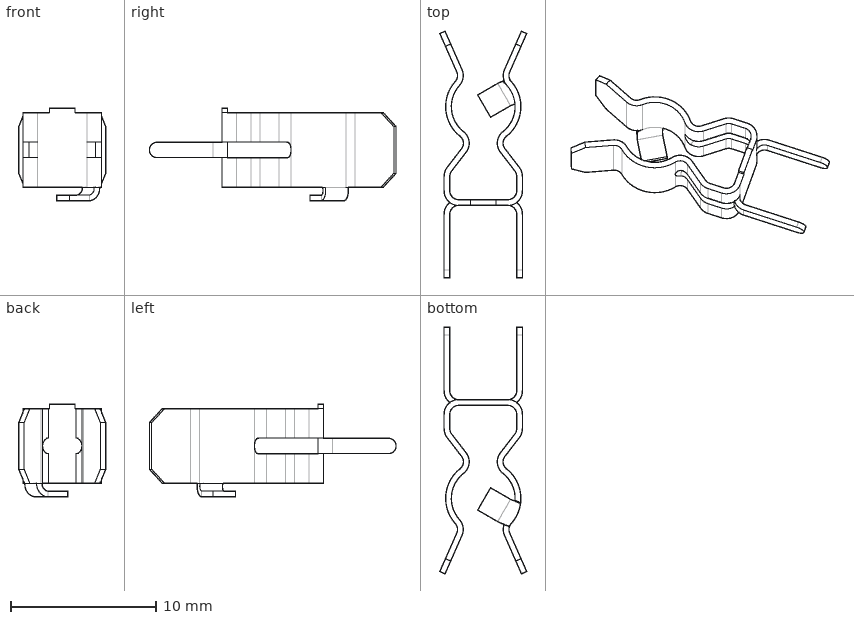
import cadquery as cq
import math


overall_length = 17
thickness = 0.4
bend_inner = 0.6
bend_middle = bend_inner + thickness / 2
strip_height = 5.15
clip_width = 5.4
plate_half = clip_width / 2 - bend_inner - thickness

side_length = 1.0
slant_angle = 37.5
slant_length = 1.65
waist_angle = 52
barrel_outer = 2.6
barrel_middle = barrel_outer - thickness / 2
mouth_angle = 42
lip_angle = 23.8
lip_length = 2.9
lip_corner = 0.97

leg_height = 1.07
tip_radius = leg_height / 2
round_end_angle = math.degrees(tip_radius / bend_middle)
slot_reach = bend_inner + 2 * thickness

tab_width = 1.78
tab_height = 0.3

foot_angle = 30
foot_width = 1.78
foot_drop = 0.94
foot_tip = 0.07
root_twist = -3


def advance(point, heading, distance):
    """Move a point along a heading given in degrees."""
    angle = math.radians(heading)
    return (point[0] + distance * math.cos(angle), point[1] + distance * math.sin(angle))


def walk(steps, start, heading):
    """Follow ("line", length) and ("bend", turn, radius) steps along the middle of the sheet.

    Returns the (point, heading) stations between the steps, and for each step
    the (point, heading) halfway round its bend, or None for a line.
    """
    stations = [(start, heading)]
    middles = []
    for kind, amount, *radius in steps:
        point, heading = stations[-1]
        if kind == "line":
            middles.append(None)
            stations.append((advance(point, heading, amount), heading))
        else:
            side = math.copysign(90, amount)
            centre = advance(point, heading + side, radius[0])
            middle_heading = heading + amount / 2
            end_heading = heading + amount
            middles.append((advance(centre, middle_heading - side, radius[0]), middle_heading))
            stations.append((advance(centre, end_heading - side, radius[0]), end_heading))
    return stations, middles


def bent_strip(steps, start, heading, height):
    """Sheet that follows the steps, centred on z = 0."""
    stations, middles = walk(steps, start, heading)

    def face_point(station, side):
        return advance(station[0], station[1] + side * 90, thickness / 2)

    outline = cq.Workplane("XY", origin=(0, 0, -height / 2)).moveTo(*face_point(stations[0], -1))
    for middle, station in zip(middles, stations[1:]):
        if middle is None:
            outline = outline.lineTo(*face_point(station, -1))
        else:
            outline = outline.threePointArc(face_point(middle, -1), face_point(station, -1))
    outline = outline.lineTo(*face_point(stations[-1], 1))
    for middle, station in zip(reversed(middles), reversed(stations[:-1])):
        if middle is None:
            outline = outline.lineTo(*face_point(station, 1))
        else:
            outline = outline.threePointArc(face_point(middle, 1), face_point(station, 1))
    return outline.close().extrude(height)


arm_steps = [
    ("line", plate_half),
    ("bend", 90, bend_middle),
    ("line", side_length),
    ("bend", slant_angle, bend_middle),
    ("line", slant_length),
    ("bend", -slant_angle - waist_angle, bend_middle),
    ("bend", waist_angle + mouth_angle, barrel_middle),
    ("bend", -mouth_angle - lip_angle, bend_middle),
    ("line", lip_length),
]
plate_middle = (0, thickness / 2)
arm_stations, _ = walk(arm_steps, plate_middle, 0)
waist_end, waist_heading = arm_stations[6]
waist_axis = advance(waist_end, waist_heading - 90, bend_middle)
barrel_axis = advance(waist_end, waist_heading + 90, barrel_middle)
lip_tip, lip_heading = arm_stations[-1]

leg_length = overall_length - advance(lip_tip, lip_heading + 90, thickness / 2)[1]
leg_steps = [
    ("line", plate_half),
    ("bend", -90, bend_middle),
    ("line", leg_length - bend_inner - tip_radius),
]


def arm():
    """Right half of the plate and the right spring arm, with a slot and clipped lip corners."""
    body = bent_strip(arm_steps, plate_middle, 0, strip_height)
    body = body.cut(slot())
    along = math.radians(lip_heading)
    lip_plane = cq.Plane(
        origin=(*lip_tip, 0),
        xDir=(math.cos(along), math.sin(along), 0),
        normal=(math.sin(along), -math.cos(along), 0),
    )
    half = strip_height / 2
    for side in (-1, 1):
        corner = (
            cq.Workplane(lip_plane)
            .polyline([(0, side * half), (-lip_corner, side * half), (0, side * (half - lip_corner))])
            .close()
            .extrude(thickness, both=True)
        )
        body = body.cut(corner)
    return body


def slot():
    """Opening left in the arm by the leg; its round end is square to the sheet in the waist bend."""
    axis_heading = waist_heading + 90 + round_end_angle
    outline = [
        waist_axis,
        advance(waist_axis, axis_heading, slot_reach),
        (0, thickness),
        (plate_half, thickness),
        (plate_half, 0),
        (clip_width, 0),
        (clip_width, waist_axis[1]),
    ]
    straight = (
        cq.Workplane("XY", origin=(0, 0, -tip_radius))
        .polyline(outline)
        .close()
        .extrude(leg_height)
    )

    along = math.radians(axis_heading)
    near = bend_inner / 2
    spread = math.tan(math.radians(round_end_angle))
    end_plane = cq.Plane(
        origin=(*advance(waist_axis, axis_heading, near), 0),
        xDir=(-math.sin(along), math.cos(along), 0),
        normal=(math.cos(along), math.sin(along), 0),
    )
    round_end = (
        cq.Workplane(end_plane)
        .ellipse(near * spread, tip_radius)
        .workplane(offset=slot_reach - near)
        .ellipse(slot_reach * spread, tip_radius)
        .loft(ruled=True)
    )
    return straight.union(round_end)


def leg():
    """Leg bent back from the plate, with a fully rounded tip."""
    shank = bent_strip(leg_steps, plate_middle, 0, leg_height)
    tip_origin = (clip_width / 2 - thickness, tip_radius - leg_length, 0)
    tip = cq.Workplane("YZ", origin=tip_origin).circle(tip_radius).extrude(thickness)
    return shank.union(tip)


def stop_tab():
    """Plain rectangle that rises above the upper edge of the plate."""
    return cq.Workplane("XY").box(
        tab_width, thickness, strip_height / 2 + tab_height, centered=(True, False, False)
    )


def foot():
    """Tab that leaves the lower edge of the barrel and bends to a flat under its axis."""
    barrel_inner = barrel_outer - thickness
    bend = foot_drop - thickness / 2
    half = foot_width / 2
    outer_edge = math.sqrt(barrel_outer**2 - half**2)
    inner_edge = math.sqrt(barrel_inner**2 - half**2)
    flat_end = barrel_middle - bend
    root = (
        cq.Workplane("XY")
        .moveTo(inner_edge, -half)
        .lineTo(outer_edge, -half)
        .threePointArc((barrel_outer, 0), (outer_edge, half))
        .lineTo(inner_edge, half)
        .threePointArc((barrel_inner, 0), (inner_edge, -half))
        .close()
        .val()
        .rotate(cq.Vector(0, 0, 0), cq.Vector(0, 0, 1), root_twist)
    )
    flat_top = thickness - foot_drop
    flat_section = (
        cq.Workplane("YZ", origin=(flat_end, 0, 0))
        .moveTo(-half, flat_top)
        .lineTo(-half, -foot_drop)
        .lineTo(half, -foot_drop)
        .lineTo(half, flat_top)
        .close()
    )
    path = (
        cq.Workplane("XZ")
        .moveTo(barrel_middle, 0)
        .radiusArc((flat_end, -bend), bend)
    )
    curve = cq.Solid.sweep_multi([root, flat_section.val()], path.val())
    flat = cq.Workplane("XY").box(
        flat_end - foot_tip, foot_width, thickness, centered=(False, True, False)
    ).translate((foot_tip, 0, -foot_drop))
    return (
        flat.union(cq.Workplane(curve))
        .rotate((0, 0, 0), (0, 0, 1), foot_angle)
        .translate((*barrel_axis, -strip_height / 2))
    )


right_half = arm().union(leg())
result = right_half.union(right_half.mirror("YZ")).union(stop_tab()).union(foot())